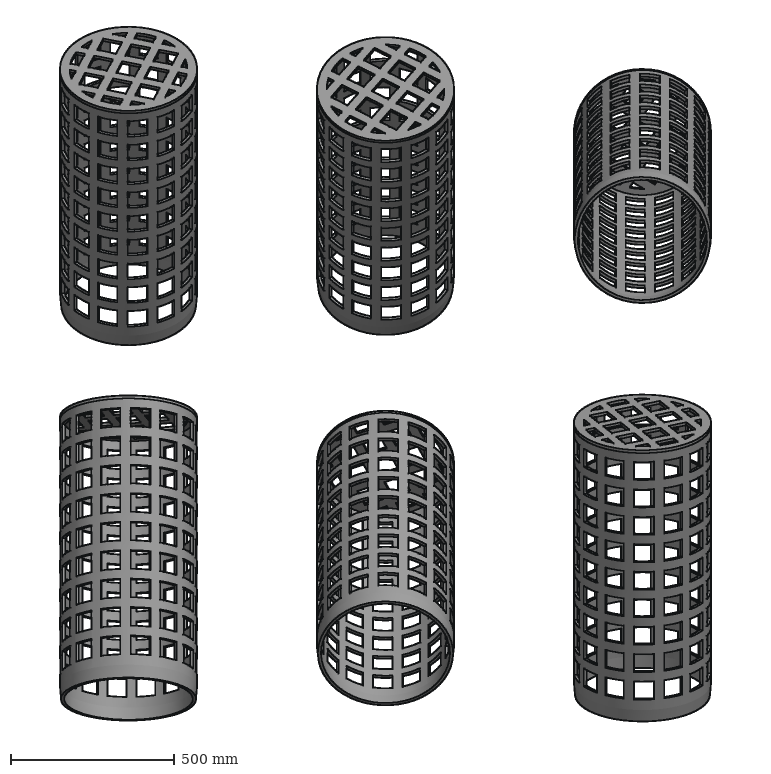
import cadquery as cq

height = 910.0
outer_diameter = 420.0
inner_diameter = 400.0
outer_radius = outer_diameter / 2
inner_radius = inner_diameter / 2
wall = outer_radius - inner_radius

foot_height = 40.0
foot_taper = 3.2

lid_thickness = wall
lid_opening_diameter = 360.0
lid_window = 60.0
lid_pitch = 90.0
lid_count = 5

column_count = 14
row_count = 9
window_angle = 16.9
window_height = 60.0
row_pitch = 92.0
lowest_window_bottom = 75.0

basket_height = height - lid_thickness


def make_window_cutters():
    """Radial wedges from the axis to beyond the wall, one for each window."""
    sector = (
        cq.Sketch()
        .arc((0, 0), outer_radius + wall, -90 - window_angle / 2, window_angle)
        .segment((0, 0))
        .close()
        .assemble()
    )
    wedge = cq.Workplane("XY").placeSketch(sector).extrude(window_height)
    cutters = []
    for column in range(column_count):
        turned = wedge.rotate((0, 0, 0), (0, 0, 1), column * 360 / column_count)
        for row in range(row_count):
            bottom = lowest_window_bottom + row * row_pitch
            cutters.append(turned.translate((0, 0, bottom)).val())
    return cutters


def make_basket():
    """Open tube with a slightly tapered foot and a grid of radial windows."""
    tube = (
        cq.Workplane("XZ")
        .moveTo(inner_radius - foot_taper, 0)
        .lineTo(outer_radius - foot_taper, 0)
        .lineTo(outer_radius, foot_height)
        .lineTo(outer_radius, basket_height)
        .lineTo(inner_radius, basket_height)
        .lineTo(inner_radius, foot_height)
        .close()
        .revolve(360, (0, 0, 0), (0, 1, 0))
    )
    return cq.Workplane(tube.val().cut(*make_window_cutters()))


def make_lid():
    """Disc with a square grid of windows that stops at a plain rim."""
    disc = cq.Workplane("XY").circle(outer_radius).extrude(lid_thickness)
    windows = (
        cq.Workplane("XY")
        .rarray(lid_pitch, lid_pitch, lid_count, lid_count)
        .rect(lid_window, lid_window)
        .extrude(lid_thickness)
    )
    opening = cq.Workplane("XY").circle(lid_opening_diameter / 2).extrude(lid_thickness)
    return disc.cut(windows.intersect(opening)).translate((0, 0, basket_height))


basket = make_basket()
lid = make_lid()

result = cq.Compound.makeCompound([basket.val(), lid.val()])